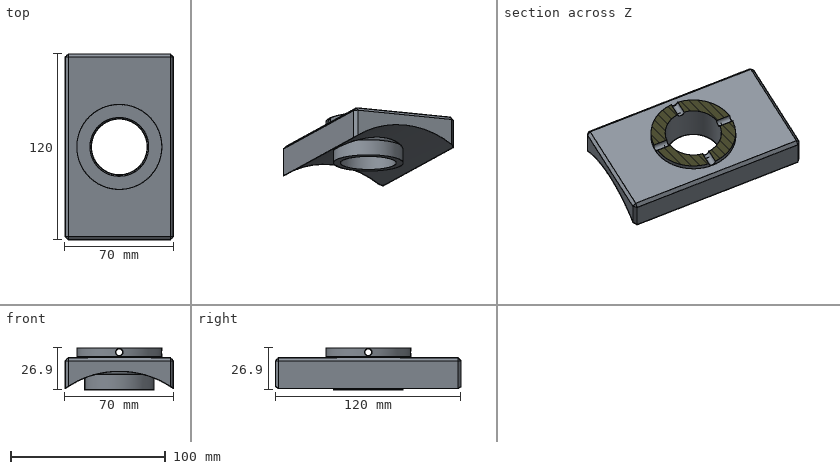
import cadquery as cq
import math

plate_length = 120.0
plate_width = 70.0
plate_thickness = 20.0
plate_chamfer = 2.0
saddle_radius = 60.0

bush_diameter = 45.0
bore_diameter = 36.0
bore_chamfer = 1.0
bush_overhang = 0.7
collar_diameter = 55.0
collar_height = 5.5
collar_gap = 0.7
neck_diameter = 41.0
spanner_hole_diameter = 4.5

seal_section = 2.9
seal_height = 10.7

saddle_sag = saddle_radius - math.sqrt(saddle_radius**2 - (plate_width / 2) ** 2)
saddle_axis_height = saddle_sag - saddle_radius
bush_bottom = -bush_overhang
collar_bottom = plate_thickness + collar_gap
collar_top = collar_bottom + collar_height
spanner_hole_height = collar_bottom + collar_height / 2
groove_diameter = bush_diameter - 2 * seal_section
groove_bottom = seal_height - seal_section / 2
groove_top = seal_height + seal_section / 2
seal_ring_radius = (bush_diameter - seal_section) / 2


def cylinder(diameter, bottom, top):
    """Upright cylinder about the Z axis between two heights."""
    return cq.Workplane("XY", origin=(0, 0, bottom)).circle(diameter / 2).extrude(top - bottom)


def make_plate():
    """Chamfered block with a pipe saddle underneath and a through hole for the bush."""
    block = (
        cq.Workplane("XY")
        .box(plate_width, plate_length, plate_thickness, centered=(True, True, False))
        .edges("|Z or >Z")
        .chamfer(plate_chamfer)
    )
    pipe = (
        cq.Workplane("XZ", origin=(0, 0, saddle_axis_height))
        .circle(saddle_radius)
        .extrude(plate_length, both=True)
    )
    hole = cylinder(bush_diameter, 0, plate_thickness)
    return block.cut(pipe).cut(hole)


def make_bush():
    """Collared tube with a recessed neck, a seal groove and four radial spanner holes."""
    body = cylinder(bush_diameter, bush_bottom, plate_thickness)
    body = body.union(cylinder(neck_diameter, plate_thickness, collar_bottom))
    body = body.union(cylinder(collar_diameter, collar_bottom, collar_top))
    body = body.cut(cylinder(bore_diameter, bush_bottom, collar_top))
    body = body.faces(">Z").edges(cq.selectors.RadiusNthSelector(0)).chamfer(bore_chamfer)

    groove = cylinder(bush_diameter, groove_bottom, groove_top)
    groove = groove.cut(cylinder(groove_diameter, groove_bottom, groove_top))
    body = body.cut(groove)

    for plane in ("XZ", "YZ"):
        spanner_hole = (
            cq.Workplane(plane, origin=(0, 0, spanner_hole_height))
            .circle(spanner_hole_diameter / 2)
            .extrude(collar_diameter, both=True)
        )
        body = body.cut(spanner_hole)
    return body


def make_seal():
    """O-ring that fills the groove from its floor out to the bush surface."""
    return (
        cq.Workplane("YZ")
        .center(-seal_ring_radius, seal_height)
        .circle(seal_section / 2)
        .revolve(360, (seal_ring_radius, 0), (seal_ring_radius, 1))
    )


plate = make_plate()
bush = make_bush()
seal = make_seal()

result = cq.Compound.makeCompound([plate.val(), bush.val(), seal.val()])